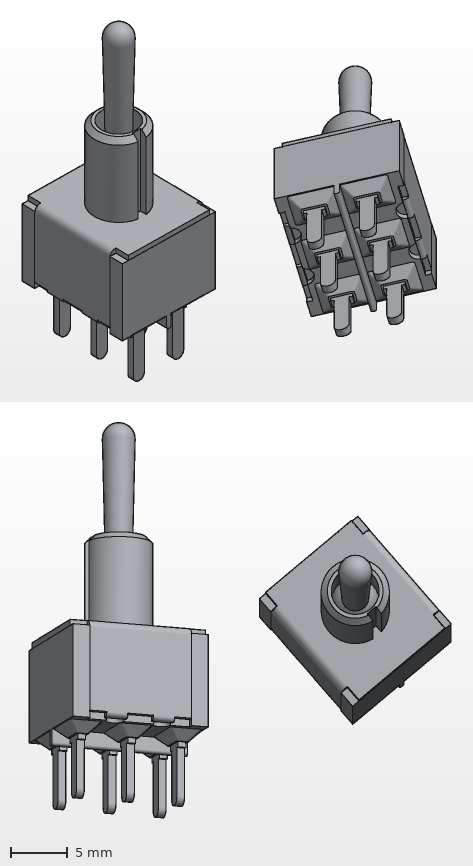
import cadquery as cq

TOTAL_HEIGHT = 34.8
CASE_BOTTOM = 6.58
COVER_TOP = 15.5
BUSHING_TOP = 24.4

CASE_LENGTH = 12.7
CASE_WIDTH = 11.4
COVER_LENGTH = 9.55
COVER_BOTTOM = 7.25
COVER_THICKNESS = 0.55
COVER_BEND_RADIUS = 0.73
PLATE_BOTTOM = COVER_TOP - COVER_THICKNESS
FLANGE_OFFSET = (CASE_WIDTH - COVER_THICKNESS) / 2

TAB_OFFSET = 2.2
TAB_WIDTH = 2.0
TAB_BOTTOM = 6.8
TAB_BEND_RADIUS = 0.4
POCKET_DIAMETER = 1.65

BUSHING_DIAMETER = 6.02
BUSHING_CHAMFER = 0.55
BORE_DIAMETER = 4.2
KEYWAY_WIDTH = 0.97
KEYWAY_DEPTH = 0.75

TERMINAL_PITCH_X = 4.7
TERMINAL_OFFSET_Y = 2.4
TERMINAL_THICKNESS = 0.73
TERMINAL_WIDTH = 1.35
SHOULDER_WIDTH = 2.0
SHOULDER_BOTTOM = 5.1

COLLAR_HEIGHT = 0.97
COLLAR_MARGIN = 0.2
COLLAR_EDGE_RADIUS = 0.3

RIB_THICKNESS = 0.52
RIB_BOTTOM = SHOULDER_BOTTOM
RIB_EDGE_RADIUS = 0.25

TIP_RADIUS = 1.45
NECK_RADIUS = 1.15
POST_RADIUS = BORE_DIAMETER / 2
DOME_DEPTH = 4.87
DOME_CENTER = BUSHING_TOP - DOME_DEPTH

OVERLAP = 0.35

SIDES = (-1, 1)


def block(x_size, y_size, z_low, z_high, x=0.0, y=0.0):
    """Box centred at (x, y) between two Z levels."""
    return cq.Workplane("XY", origin=(x, y, z_low)).box(
        x_size, y_size, z_high - z_low, centered=(True, True, False)
    )


def make_case():
    """Box below the cover plate, with recesses for the cover flanges and pockets below the tabs."""
    case = block(CASE_LENGTH, CASE_WIDTH, CASE_BOTTOM, PLATE_BOTTOM)
    pocket_y = CASE_WIDTH / 2 - COVER_THICKNESS
    for side_y in SIDES:
        case = case.cut(
            block(COVER_LENGTH, COVER_THICKNESS, CASE_BOTTOM, PLATE_BOTTOM, 0, side_y * FLANGE_OFFSET)
        )
        for side_x in SIDES:
            pocket = (
                cq.Workplane("XY", origin=(side_x * TAB_OFFSET, side_y * pocket_y, CASE_BOTTOM))
                .circle(POCKET_DIAMETER / 2)
                .extrude(COVER_BOTTOM - CASE_BOTTOM)
            )
            case = case.cut(pocket)
    return case


def make_bushing():
    """Chamfered cylinder with a keyway along its +X side."""
    bushing = (
        cq.Workplane("XY", origin=(0, 0, COVER_TOP - OVERLAP))
        .circle(BUSHING_DIAMETER / 2)
        .extrude(BUSHING_TOP - COVER_TOP + OVERLAP)
        .faces(">Z")
        .chamfer(BUSHING_CHAMFER)
    )
    keyway_x = (BUSHING_DIAMETER - KEYWAY_DEPTH) / 2
    return bushing.cut(block(KEYWAY_DEPTH, KEYWAY_WIDTH, COVER_TOP, BUSHING_TOP, keyway_x))


def make_tab(x, side_y):
    """Short tab below a cover flange, rounded where it turns under the case."""
    outer_edge = ">Y" if side_y > 0 else "<Y"
    tab = block(TAB_WIDTH, COVER_THICKNESS, TAB_BOTTOM, COVER_BOTTOM, x, side_y * FLANGE_OFFSET)
    return tab.faces("<Z").edges(outer_edge).fillet(TAB_BEND_RADIUS)


def make_cover():
    """Sheet cover: top plate, two bent side flanges with tabs, and the bored bushing."""
    wrap = (
        block(COVER_LENGTH, CASE_WIDTH, COVER_BOTTOM, COVER_TOP)
        .faces(">Z")
        .edges("|X")
        .fillet(COVER_BEND_RADIUS)
        .cut(block(COVER_LENGTH, CASE_WIDTH - 2 * COVER_THICKNESS, COVER_BOTTOM, PLATE_BOTTOM))
    )
    plate = block(CASE_LENGTH, CASE_WIDTH - 2 * COVER_BEND_RADIUS, PLATE_BOTTOM, COVER_TOP)
    cover = wrap.union(plate).union(make_bushing())
    for side_y in SIDES:
        for side_x in SIDES:
            cover = cover.union(make_tab(side_x * TAB_OFFSET, side_y))
    bore = cq.Workplane("XY", origin=(0, 0, PLATE_BOTTOM)).circle(BORE_DIAMETER / 2)
    return cover.cut(bore.extrude(BUSHING_TOP - PLATE_BOTTOM))


def make_terminal(x, y):
    """Flat terminal with a rounded end, a wider shoulder and a flared collar at the case."""
    tip_radius = TERMINAL_WIDTH / 2
    root = CASE_BOTTOM + OVERLAP
    blade = (
        cq.Workplane("YZ", origin=(x - TERMINAL_THICKNESS / 2, y, 0))
        .moveTo(-tip_radius, root)
        .lineTo(-tip_radius, tip_radius)
        .threePointArc((0, 0), (tip_radius, tip_radius))
        .lineTo(tip_radius, root)
        .close()
        .extrude(TERMINAL_THICKNESS)
    )
    shoulder = block(TERMINAL_THICKNESS, SHOULDER_WIDTH, SHOULDER_BOTTOM, root, x, y)
    flare = 2 * (COLLAR_MARGIN + COLLAR_HEIGHT)
    collar = (
        cq.Workplane("XY", origin=(x, y, CASE_BOTTOM))
        .rect(TERMINAL_THICKNESS + flare, SHOULDER_WIDTH + flare)
        .workplane(offset=-COLLAR_HEIGHT)
        .rect(TERMINAL_THICKNESS + 2 * COLLAR_MARGIN, SHOULDER_WIDTH + 2 * COLLAR_MARGIN)
        .loft(ruled=True)
        .edges("not(#Z or |X or |Y)")
        .fillet(COLLAR_EDGE_RADIUS)
    )
    return collar.union(shoulder).union(blade)


def make_rib():
    """Full-length rib under the case with rounded lower edges."""
    rib = block(CASE_LENGTH, RIB_THICKNESS, RIB_BOTTOM, CASE_BOTTOM + OVERLAP)
    return rib.faces("<Z").edges("|X").fillet(RIB_EDGE_RADIUS)


def make_lever():
    """Round-topped post, tapered handle and hemispherical tip."""
    tip_center = TOTAL_HEIGHT - TIP_RADIUS
    post_bottom = PLATE_BOTTOM - OVERLAP
    post = (
        cq.Workplane("XY", origin=(0, 0, post_bottom))
        .circle(POST_RADIUS)
        .extrude(DOME_CENTER - post_bottom)
    )
    dome = cq.Workplane("XY", origin=(0, 0, DOME_CENTER)).sphere(POST_RADIUS)
    handle = (
        cq.Workplane("XY", origin=(0, 0, DOME_CENTER))
        .circle(NECK_RADIUS)
        .workplane(offset=tip_center - DOME_CENTER)
        .circle(TIP_RADIUS)
        .loft(ruled=True)
    )
    tip = cq.Workplane("XY", origin=(0, 0, tip_center)).sphere(TIP_RADIUS)
    return post.union(dome).union(handle).union(tip)


def make_switch_body():
    """Case with its lever, rib and six terminals as one solid."""
    body = make_case().union(make_lever()).union(make_rib())
    for column in (-1, 0, 1):
        for side_y in SIDES:
            body = body.union(make_terminal(column * TERMINAL_PITCH_X, side_y * TERMINAL_OFFSET_Y))
    return body


cover = make_cover()
switch_body = make_switch_body()

result = cq.Compound.makeCompound([cover.solids().val(), switch_body.solids().val()])